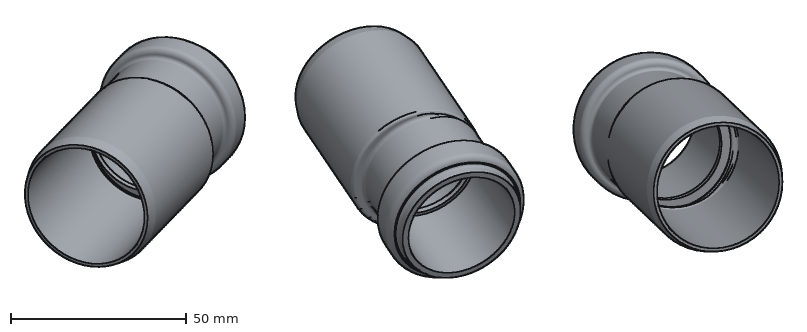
import cadquery as cq
import math

LENGTH = 74.5

SPIGOT_RADIUS = 40.2 / 2
SPIGOT_BORE_RADIUS = 36.2 / 2
SPIGOT_TIP_RADIUS = 38.2 / 2
TIP_TAPER_LENGTH = 3.6
SHOULDER_Y = 45.4
SHOULDER_ROUND = 0.9
COLLAR_TRIM_INSET = 1.65

NECK_RADIUS = 36.3 / 2
LIP_RADIUS = 36.6 / 2
LIP_TAPER_LENGTH = 0.7
BELL_RADIUS = 42.4 / 2
BELL_START_Y = 61.5
BELL_END_Y = 71.3
BELL_START_ROUND = 1.9
BELL_END_ROUND = 2.2
ROOT_FILLET = 1.1
SOCKET_BORE_RADIUS = 32.7 / 2

STOP_RADIUS = 30.8 / 2
STOP_THICKNESS = 1.95
STOP_RECESS_DEPTH = 0.9
BORE_ROUND = 0.5

SPIGOT_OFFSET = SPIGOT_RADIUS - NECK_RADIUS
ROUND_START_Y = SHOULDER_Y - SHOULDER_ROUND
COLLAR_END_Y = SHOULDER_Y + ROOT_FILLET
STOP_END_Y = SHOULDER_Y
STOP_START_Y = STOP_END_Y - STOP_THICKNESS
RECESS_START_Y = STOP_START_Y - STOP_RECESS_DEPTH


def cylinder(radius, start, end, axis_x=0.0):
    """Cylinder along +Y between two Y positions."""
    return cq.Workplane("XZ", origin=(axis_x, start, 0)).circle(radius).extrude(start - end)


def spin(profile, axis_x=0.0):
    """Revolve a (radius, Y) profile about the Y axis, then shift it along X."""
    return profile.close().revolve(360, (0, 0), (0, 1)).translate((axis_x, 0, 0))


def fillet_arc(profile, start, end, center):
    """Short arc between two points about a center."""
    radius = math.dist(start, center)
    dx = (start[0] + end[0]) / 2 - center[0]
    dy = (start[1] + end[1]) / 2 - center[1]
    scale = radius / math.hypot(dx, dy)
    return profile.threePointArc((center[0] + dx * scale, center[1] + dy * scale), end)


def make_spigot():
    round_center = (SPIGOT_RADIUS - SHOULDER_ROUND, ROUND_START_Y)
    round_start = (SPIGOT_RADIUS, ROUND_START_Y)
    round_end = (SPIGOT_RADIUS - SHOULDER_ROUND, SHOULDER_Y)
    profile = (
        cq.Workplane("XY")
        .lineTo(SPIGOT_TIP_RADIUS, 0)
        .lineTo(SPIGOT_RADIUS, TIP_TAPER_LENGTH)
        .lineTo(*round_start)
    )
    profile = fillet_arc(profile, round_start, round_end, round_center).lineTo(0, SHOULDER_Y)
    return spin(profile, SPIGOT_OFFSET)


def make_socket():
    """Neck, bell with rounded edges and root fillets, and the lip at the mouth."""
    neck_root = NECK_RADIUS + ROOT_FILLET
    lip_root = LIP_RADIUS + ROOT_FILLET
    start_flat = BELL_RADIUS - BELL_START_ROUND
    end_flat = BELL_RADIUS - BELL_END_ROUND
    start_round_y = BELL_START_Y + BELL_START_ROUND
    end_round_y = BELL_END_Y - BELL_END_ROUND
    start_root_y = BELL_START_Y - ROOT_FILLET
    end_root_y = BELL_END_Y + ROOT_FILLET
    arcs = [
        ((NECK_RADIUS, start_root_y), (neck_root, BELL_START_Y), (neck_root, start_root_y)),
        ((start_flat, BELL_START_Y), (BELL_RADIUS, start_round_y), (start_flat, start_round_y)),
        ((BELL_RADIUS, end_round_y), (end_flat, BELL_END_Y), (end_flat, end_round_y)),
        ((lip_root, BELL_END_Y), (LIP_RADIUS, end_root_y), (lip_root, end_root_y)),
    ]
    profile = cq.Workplane("XY").moveTo(0, ROUND_START_Y).lineTo(NECK_RADIUS, ROUND_START_Y)
    for start, end, center in arcs:
        profile = fillet_arc(profile.lineTo(*start), start, end, center)
    profile = (
        profile.lineTo(LIP_RADIUS, LENGTH - LIP_TAPER_LENGTH)
        .lineTo(NECK_RADIUS, LENGTH)
        .lineTo(0, LENGTH)
    )
    return spin(profile)


def make_collar():
    """Fillet from shoulder to neck, trimmed by a cone so that it fades out at -X."""
    root_radius = NECK_RADIUS + ROOT_FILLET
    start = (root_radius, SHOULDER_Y)
    end = (NECK_RADIUS, COLLAR_END_Y)
    profile = cq.Workplane("XY").moveTo(0, ROUND_START_Y).lineTo(root_radius, ROUND_START_Y).lineTo(*start)
    ring = spin(fillet_arc(profile, start, end, (root_radius, COLLAR_END_Y)).lineTo(0, COLLAR_END_Y))
    cone_top_radius = SPIGOT_RADIUS - COLLAR_TRIM_INSET
    cone = spin(
        cq.Workplane("XY")
        .moveTo(0, ROUND_START_Y)
        .lineTo(SPIGOT_RADIUS, ROUND_START_Y)
        .lineTo(cone_top_radius, COLLAR_END_Y)
        .lineTo(0, COLLAR_END_Y),
        SPIGOT_OFFSET,
    )
    return ring.intersect(cone)


def make_spigot_bore():
    """Spigot bore with a rounded inner end."""
    flat_radius = SPIGOT_BORE_RADIUS - BORE_ROUND
    round_y = RECESS_START_Y - BORE_ROUND
    start = (SPIGOT_BORE_RADIUS, round_y)
    end = (flat_radius, RECESS_START_Y)
    profile = cq.Workplane("XY").lineTo(SPIGOT_BORE_RADIUS, 0).lineTo(*start)
    profile = fillet_arc(profile, start, end, (flat_radius, round_y)).lineTo(0, RECESS_START_Y)
    return spin(profile, SPIGOT_OFFSET)


def make_recess():
    """Round-edged recess on the socket axis, leaving a crescent ledge at +X in the spigot bore."""
    mouth_radius = SPIGOT_BORE_RADIUS + BORE_ROUND
    round_y = RECESS_START_Y + BORE_ROUND
    start = (mouth_radius, RECESS_START_Y)
    end = (SPIGOT_BORE_RADIUS, round_y)
    profile = cq.Workplane("XY").moveTo(0, RECESS_START_Y).lineTo(*start)
    profile = fillet_arc(profile, start, end, (mouth_radius, round_y))
    profile = profile.lineTo(SPIGOT_BORE_RADIUS, STOP_START_Y).lineTo(0, STOP_START_Y)
    limit = cylinder(SPIGOT_BORE_RADIUS - BORE_ROUND, RECESS_START_Y, STOP_START_Y, SPIGOT_OFFSET)
    return spin(profile).intersect(limit)


def make_bores():
    stop_hole = cylinder(STOP_RADIUS, STOP_START_Y, STOP_END_Y)
    socket_bore = cylinder(SOCKET_BORE_RADIUS, STOP_END_Y, LENGTH)
    return [make_spigot_bore(), make_recess(), stop_hole, socket_bore]


result = make_spigot().union(make_collar()).union(make_socket())
for bore in make_bores():
    result = result.cut(bore)